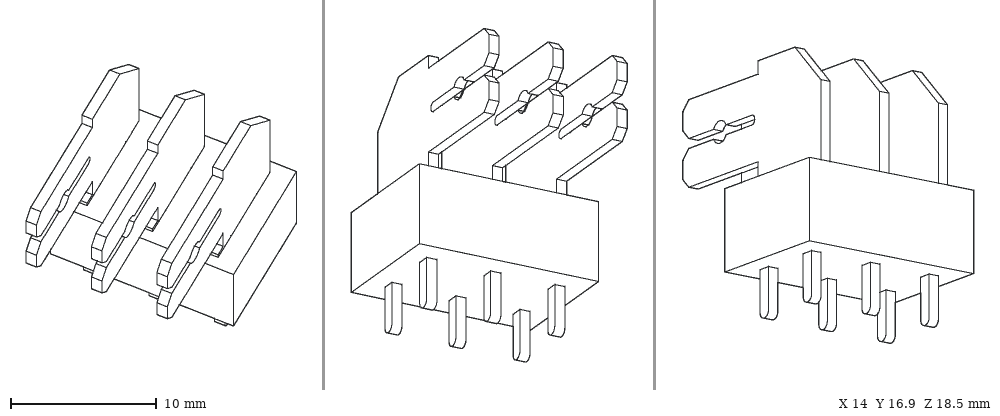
import cadquery as cq

housing_width = 14.0
housing_depth = 9.8
housing_height = 5.95

terminal_count = 3
terminal_pitch = 5.0
terminal_thickness = 0.8

plate_height = 9.0
plate_back_setback = 0.85
plate_front_setback = 1.65
plate_chamfer = 3.0
foot_length = 0.8
foot_height = 0.3

blade_length = 8.7
blade_width = 6.25
blade_drop = 0.95
prong_chamfer = 0.7
slot_width = 0.7
slot_length = 8.35
detent_diameter = 1.6
detent_from_tip = 4.3

leg_width = 1.0
leg_pitch = 5.0
leg_protrusion = 3.55

plate_back = housing_depth / 2 - plate_back_setback
plate_front = -housing_depth / 2 + plate_front_setback
plate_bottom = housing_height
plate_top = plate_bottom + plate_height
blade_tip = plate_front - blade_length
blade_top = plate_top - blade_drop
blade_bottom = blade_top - blade_width
blade_middle = (blade_top + blade_bottom) / 2
prong_width = (blade_width - slot_width) / 2
leg_positions = [-leg_pitch / 2, leg_pitch / 2]
terminal_positions = [(i - (terminal_count - 1) / 2) * terminal_pitch for i in range(terminal_count)]


def terminal_plane(x):
    """YZ sketch plane on the -X face of the terminal centred at x."""
    return cq.Workplane("YZ", origin=(x - terminal_thickness / 2, 0, 0))


def make_plate(x):
    """Upright plate with a sloped rear corner and a low foot at the front."""
    return (
        terminal_plane(x)
        .moveTo(plate_back, plate_bottom)
        .lineTo(plate_back, plate_top - plate_chamfer)
        .lineTo(plate_back - plate_chamfer, plate_top)
        .lineTo(plate_front, plate_top)
        .lineTo(plate_front, plate_bottom + foot_height)
        .lineTo(plate_front - foot_length, plate_bottom + foot_height)
        .lineTo(plate_front - foot_length, plate_bottom)
        .close()
        .extrude(terminal_thickness)
    )


def make_prong(x, bottom):
    """One half of the blade, chamfered at both corners of its tip."""
    top = bottom + prong_width
    return (
        terminal_plane(x)
        .moveTo(plate_front, bottom)
        .lineTo(blade_tip + prong_chamfer, bottom)
        .lineTo(blade_tip, bottom + prong_chamfer)
        .lineTo(blade_tip, top - prong_chamfer)
        .lineTo(blade_tip + prong_chamfer, top)
        .lineTo(plate_front, top)
        .close()
        .extrude(terminal_thickness)
    )


def make_blade(x):
    """Two prongs joined at the root, with a round-ended slot and a detent hole between them."""
    slot_end = blade_tip + slot_length
    end_radius = slot_width / 2
    slot_root = (
        terminal_plane(x)
        .moveTo(plate_front, blade_middle - end_radius)
        .lineTo(slot_end - end_radius, blade_middle - end_radius)
        .threePointArc((slot_end, blade_middle), (slot_end - end_radius, blade_middle + end_radius))
        .lineTo(plate_front, blade_middle + end_radius)
        .close()
        .extrude(terminal_thickness)
    )
    detent_hole = (
        terminal_plane(x)
        .center(blade_tip + detent_from_tip, blade_middle)
        .circle(detent_diameter / 2)
        .extrude(terminal_thickness)
    )
    lower_prong = make_prong(x, blade_bottom)
    upper_prong = make_prong(x, blade_top - prong_width)
    return lower_prong.union(slot_root).union(upper_prong).cut(detent_hole)


def make_leg(x, y):
    """Straight leg with a fully rounded end."""
    radius = leg_width / 2
    tip = -leg_protrusion
    return (
        terminal_plane(x)
        .moveTo(y - radius, plate_bottom)
        .lineTo(y - radius, tip + radius)
        .threePointArc((y, tip), (y + radius, tip + radius))
        .lineTo(y + radius, plate_bottom)
        .close()
        .extrude(terminal_thickness)
    )


def make_terminal(x):
    """Plate, blade and two legs as one solid."""
    terminal = make_plate(x).union(make_blade(x))
    for y in leg_positions:
        terminal = terminal.union(make_leg(x, y))
    return terminal.clean()


def make_housing():
    """Plain block with a through slot for every leg."""
    block = cq.Workplane("XY").box(
        housing_width, housing_depth, housing_height, centered=(True, True, False)
    )
    leg_centres = [(x, y) for x in terminal_positions for y in leg_positions]
    leg_slots = (
        cq.Workplane("XY")
        .pushPoints(leg_centres)
        .rect(terminal_thickness, leg_width)
        .extrude(housing_height)
    )
    return block.cut(leg_slots)


housing = make_housing()
terminals = [make_terminal(x) for x in terminal_positions]

result = cq.Compound.makeCompound(
    [housing.solids().val(), *[terminal.solids().val() for terminal in terminals]]
)